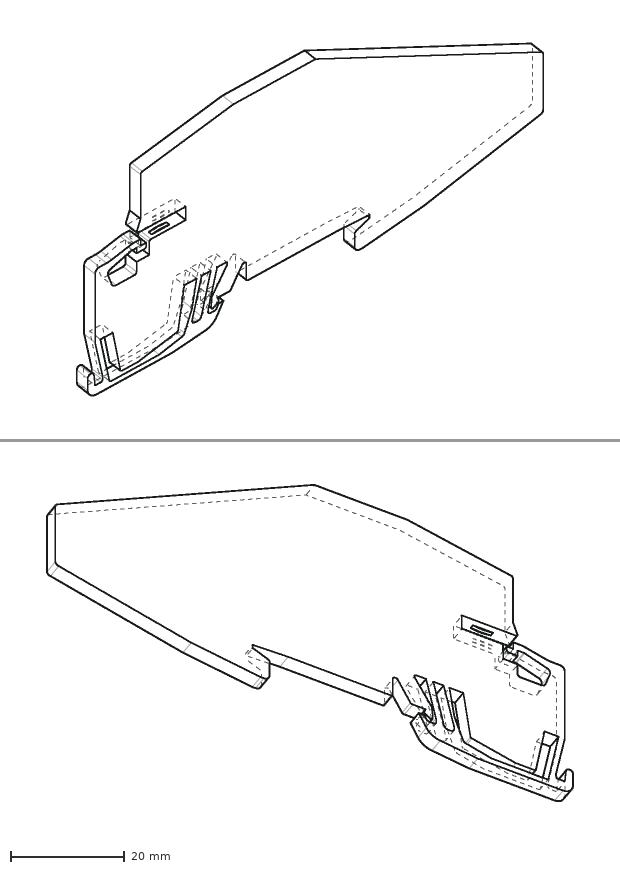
import cadquery as cq
import math

THICKNESS = 3.0
HALF_LENGTH = 52.4
HEIGHT = 50.3

NOSE_Y = -40.2
SLOT_END_Y = -29.8
SLOT_FLOOR = 29.3
SLOT_ROOF = 32.5
SHOULDER_Y = -41.2
END_FACE_Y = -50.7
LEG_ROOT = 12.4
SLIT_TOP = 14.2
RAIL_SEAT = 7.2
TAIL_INNER_Y = -51.0

BUMP_LENGTH = 4.1
BUMP_WIDTH = 0.8
BUMP_RISE = 0.2
BUMP_X = 0.2
BUMP_Y = -34.9


def corner_arc(before, corner, after, radius):
    """Start, middle and end of the arc that rounds one corner of an outline."""
    corner_v = cq.Vector(*corner)
    to_before = (cq.Vector(*before) - corner_v).normalized()
    to_after = (cq.Vector(*after) - corner_v).normalized()
    half_angle = to_before.getAngle(to_after) / 2
    setback = radius / math.tan(half_angle)
    to_middle = radius / math.sin(half_angle) - radius
    bisector = (to_before + to_after).normalized()
    arc = (
        corner_v + to_before * setback,
        corner_v + bisector * to_middle,
        corner_v + to_after * setback,
    )
    return [point.toTuple()[:2] for point in arc]


def extrude_outline(corners):
    """Plate-thick solid from (y, z, corner radius) points; radius 0 keeps a sharp corner."""
    points = [(y, z) for y, z, _ in corners]
    outline = cq.Workplane("YZ", origin=(-THICKNESS / 2, 0, 0))
    for i, (y, z, radius) in enumerate(corners):
        if radius > 0:
            following = points[(i + 1) % len(points)]
            start, middle, end = corner_arc(points[i - 1], points[i], following, radius)
        else:
            start = (y, z)
        outline = outline.moveTo(*start) if i == 0 else outline.lineTo(*start)
        if radius > 0:
            outline = outline.threePointArc(middle, end)
    return outline.close().extrude(THICKNESS)


def plate_outline():
    """Corners of the plate, clockwise seen from -X, starting at the upper wing tip."""
    wing_top = [
        (HALF_LENGTH, 22.6, 0.8),
        (0.0, HEIGHT, 0),
        (-18.8, HEIGHT, 0),
        (NOSE_Y, 46.2, 0.5),
        (NOSE_Y, 35.4, 0),
    ]
    marker_slot = [
        (-41.3, SLOT_ROOF, 0.3),
        (SLOT_END_Y, SLOT_ROOF, 0),
        (SLOT_END_Y, SLOT_FLOOR, 0),
        (-38.2, SLOT_FLOOR, 0.4),
        (-38.2, 25.9, 0),
    ]
    hook_pocket = [
        (SHOULDER_Y, 25.9, 0),
        (SHOULDER_Y, 23.0, 0.5),
        (-46.6, 23.0, 1.0),
        (-48.0, 27.2, 0.9),
        (-42.4, 29.1, 0.5),
        (SHOULDER_Y, 29.1, 0),
    ]
    snap_hook = [
        (SHOULDER_Y, 27.9, 0),
        (-39.0, 27.9, 0.4),
        (-39.0, 29.1, 0),
        (NOSE_Y, 29.1, 0),
        (NOSE_Y, 30.7, 0),
        (-42.1, 30.7, 2.7),
        (-47.4, 29.4, 5.2),
        (END_FACE_Y, 29.4, 1.0),
    ]
    release_leg = [
        (END_FACE_Y, LEG_ROOT, 0),
        (-48.9, 3.2, 0),
        (-49.0, 2.3, 0.4),
        (-50.7, 2.3, 0),
        (TAIL_INNER_Y, 5.5, 0.68),
        (-HALF_LENGTH, 5.5, 0.68),
    ]
    foot = [
        (-HALF_LENGTH, 0.0, 2.1),
        (-33.0, 0.0, 0),
        (-23.6, 1.2, 3.7),
        (-21.2, 5.5, 0),
    ]
    foot_gap = [
        (-22.3, 5.5, 0),
        (-22.8, 4.4, 0.6),
        (-24.8, 4.4, 0.6),
        (-24.6, 5.9, 0),
        (-22.6, SLIT_TOP, 0),
        (-19.9, SLIT_TOP, 0.4),
    ]
    rail_lip = [
        (-23.9, 8.0, 0),
        (-24.0, 4.9, 0.3),
        (-22.2, 6.1, 0.2),
        (-22.5, 7.0, 0),
        (-19.6, 7.0, 0.5),
        (-16.5, 12.1, 0.5),
        (-15.9, 11.5, 0.2),
    ]
    rail_seat = [
        (-15.9, RAIL_SEAT, 0.4),
        (5.3, RAIL_SEAT, 0),
        (12.5, 6.9, 0),
        (12.5, 6.2, 0),
    ]
    rail_claw = [
        (9.0, 4.7, 0.6),
        (9.0, 0.0, 1.3),
        (10.9, 0.0, 0),
        (24.9, 2.0, 0),
        (HALF_LENGTH, 8.5, 0.8),
    ]
    return (
        wing_top + marker_slot + hook_pocket + snap_hook + release_leg
        + foot + foot_gap + rail_lip + rail_seat + rail_claw
    )


def spring_slit():
    """Through slit between the two thin springs that carry the foot."""
    return extrude_outline([
        (-24.1, SLIT_TOP, 0),
        (-26.2, SLIT_TOP, 0),
        (-28.6, 4.2, 0.8),
        (-26.4, 4.2, 0.8),
    ])


def foot_window():
    """Through window that frees the foot from the block above it."""
    return extrude_outline([
        (-27.3, SLIT_TOP, 0),
        (-30.2, SLIT_TOP, 0),
        (-31.6, 4.3, 0.3),
        (-40.7, 2.3, 0),
        (-44.8, 2.3, 0.3),
        (-46.6, LEG_ROOT, 0),
        (-49.4, LEG_ROOT, 0),
        (-47.3, 1.3, 0.4),
        (-35.9, 1.3, 0),
        (-30.3, 2.6, 0.8),
        (-28.4, 7.9, 0),
    ])


def make_plate():
    return extrude_outline(plate_outline()).cut(spring_slit()).cut(foot_window())


def make_bump(base_z, rise):
    """Low arched bump on a slot wall; a negative rise makes it hang from the roof."""
    return (
        cq.Workplane("YZ", origin=(BUMP_X - BUMP_WIDTH / 2, BUMP_Y, base_z))
        .moveTo(-BUMP_LENGTH / 2, 0)
        .threePointArc((0, rise), (BUMP_LENGTH / 2, 0))
        .close()
        .extrude(BUMP_WIDTH)
    )


plate = make_plate()
bumps = [
    make_bump(base_z, rise)
    for base_z, rise in ((SLOT_ROOF, -BUMP_RISE), (SLOT_FLOOR, BUMP_RISE))
]
result = cq.Compound.makeCompound([plate.val(), *[bump.val() for bump in bumps]])